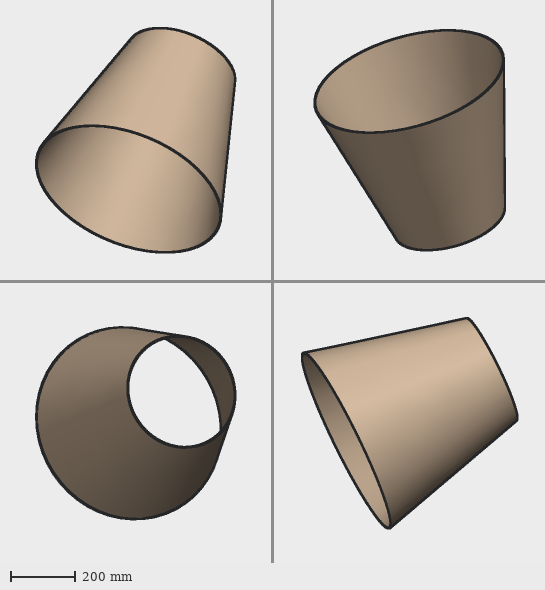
import math

import cadquery as cq

large_diameter = 609.6
small_diameter = 355.6
length = 508.0
sheet_thickness = 3.0

large_radius = large_diameter / 2
small_radius = small_diameter / 2
slope_angle = math.atan2(large_radius - small_radius, length)
radial_wall = sheet_thickness / math.cos(slope_angle)


def conical_shell():
    """Wall section in the XY plane, revolved about the Y axis; the large end is at Y = 0."""
    section = [
        (large_radius - radial_wall, 0),
        (large_radius, 0),
        (small_radius, length),
        (small_radius - radial_wall, length),
    ]
    return cq.Workplane("XY").polyline(section).close().revolve(360, (0, 0, 0), (0, 1, 0))


result = conical_shell()